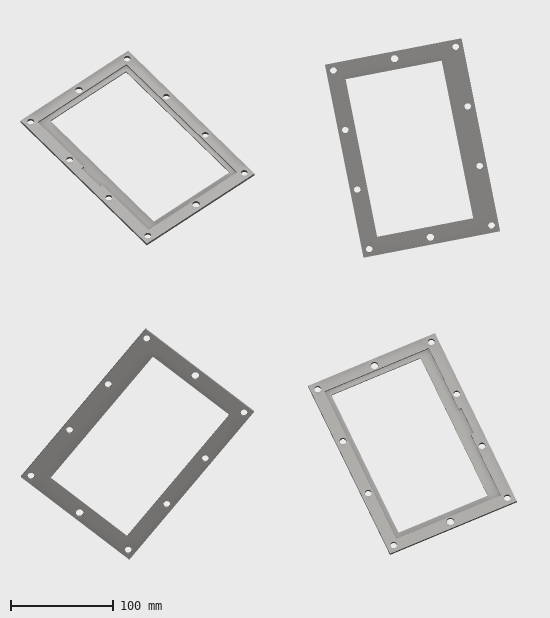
import cadquery as cq

length = 195.0
width = 136.0
thickness = 3.0

recess_length = 171.0
recess_width = 112.0
recess_depth = 1.5
notch_length = 28.9
notch_width = 3.0

window_length = 159.9
window_width = 95.7
window_back_margin = 17.0

hole_inset = 7.0
row_hole_count = 4
row_hole_diameter = 6.6
end_hole_diameter = 7.5

hole_span_x = length - 2 * hole_inset
hole_span_y = width - 2 * hole_inset
row_pitch = hole_span_x / (row_hole_count - 1)
recess_floor = thickness - recess_depth


def block(size_x, size_y, height, center_y, bottom):
    """Rectangular block centred on X = 0."""
    return (
        cq.Workplane("XY", origin=(0, center_y, bottom))
        .box(size_x, size_y, height, centered=(True, True, False))
    )


plate = block(length, width, thickness, 0, 0)

recess = block(recess_length, recess_width, recess_depth, 0, recess_floor)
notch_center_y = -(recess_width + notch_width) / 2
notch = block(notch_length, notch_width, recess_depth, notch_center_y, recess_floor)

window_center_y = width / 2 - window_back_margin - window_width / 2
window = block(window_length, window_width, thickness, window_center_y, 0)

row_holes = (
    cq.Workplane("XY")
    .rarray(row_pitch, hole_span_y, row_hole_count, 2)
    .circle(row_hole_diameter / 2)
    .extrude(thickness)
)
end_holes = (
    cq.Workplane("XY")
    .rarray(hole_span_x, 2, 2, 1)
    .circle(end_hole_diameter / 2)
    .extrude(thickness)
)

result = plate.cut(recess).cut(notch).cut(window).cut(row_holes).cut(end_holes)